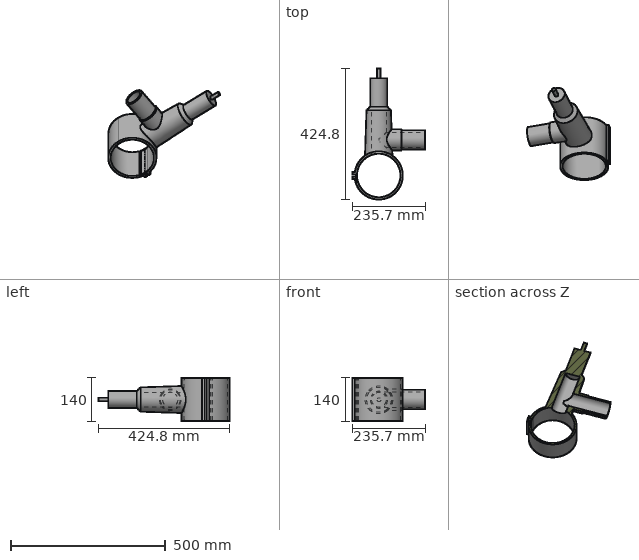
import cadquery as cq
import math

ring_height = 140.0
ring_inner_radius = 70.0
ring_outer_radius = 78.3
half_height = ring_height / 2

tab_radius = 85.75
tab_half_angle = 8.0
split_width = 6.5
tongue_clearance = 0.2
tongue_outer_radius = 73.8
recess_radius = tongue_outer_radius + tongue_clearance
tongue_end_angle = 13.0
recess_end_angle = 17.5

arm_root_y = 60.0
arm_root_radius = 45.0
arm_shoulder_y = 210.5
arm_shoulder_radius = 40.0
neck_radius = 27.75
neck_start_y = arm_shoulder_y + arm_shoulder_radius - neck_radius
neck_end_y = 315.0
rod_radius = 6.25
rod_end_y = 346.5

branch_y = 115.2
collar_radius = 34.5
collar_end_x = 72.5
branch_radius = 31.7
branch_start_x = collar_end_x + collar_radius - branch_radius
branch_end_x = 150.0

arm_bore_radius = 23.8
arm_bore_end_y = arm_shoulder_y
branch_bore_radius = 24.5


def polar_point(radius, degrees_below_x):
    """Point on the -X side, at an angle measured from -X towards -Y."""
    angle = math.radians(degrees_below_x)
    return (-radius * math.cos(angle), -radius * math.sin(angle))


def ring_sector(inner_radius, outer_radius, start_angle, end_angle):
    """Full-height sector of a ring, between two angles measured from -X towards -Y."""
    middle_angle = (start_angle + end_angle) / 2
    return (
        cq.Workplane("XY")
        .workplane(offset=-half_height)
        .moveTo(*polar_point(inner_radius, start_angle))
        .lineTo(*polar_point(outer_radius, start_angle))
        .threePointArc(polar_point(outer_radius, middle_angle), polar_point(outer_radius, end_angle))
        .lineTo(*polar_point(inner_radius, end_angle))
        .threePointArc(polar_point(inner_radius, middle_angle), polar_point(inner_radius, start_angle))
        .close()
        .extrude(ring_height)
    )


def cylinder_z(radius):
    """Full-height cylinder on the ring axis."""
    return cq.Workplane("XY").workplane(offset=-half_height).circle(radius).extrude(ring_height)


def make_arm():
    """Tapered arm, neck and end rod, turned about the Y axis."""
    return (
        cq.Workplane("XY")
        .moveTo(0, arm_root_y)
        .lineTo(-arm_root_radius, arm_root_y)
        .lineTo(-arm_shoulder_radius, arm_shoulder_y)
        .lineTo(-neck_radius, neck_start_y)
        .lineTo(-neck_radius, neck_end_y)
        .lineTo(-rod_radius, neck_end_y)
        .lineTo(-rod_radius, rod_end_y)
        .lineTo(0, rod_end_y)
        .close()
        .revolve(360, (0, 0, 0), (0, 1, 0))
    )


def make_branch():
    """Collar and branch pipe, turned about an axis parallel to X."""
    return (
        cq.Workplane("XY", origin=(0, branch_y, 0))
        .lineTo(0, collar_radius)
        .lineTo(collar_end_x, collar_radius)
        .lineTo(branch_start_x, branch_radius)
        .lineTo(branch_end_x, branch_radius)
        .lineTo(branch_end_x, 0)
        .close()
        .revolve(360, (0, 0, 0), (1, 0, 0))
    )


def make_passages():
    """Arm bore opening into the ring, and branch bore opening at the branch end."""
    arm_bore = cq.Workplane("XZ").circle(arm_bore_radius).extrude(-arm_bore_end_y)
    branch_bore = (
        cq.Workplane("YZ", origin=(0, branch_y, 0))
        .circle(branch_bore_radius)
        .extrude(branch_end_x)
    )
    return arm_bore.union(branch_bore)


def add_clamp_split(body):
    """Add the tabs, cut the split and its recess, then bridge it with the tongue."""
    tabs = ring_sector(ring_inner_radius, tab_radius, -tab_half_angle, tab_half_angle)
    split_length = 2 * (tab_radius - ring_inner_radius)
    split = (
        cq.Workplane("XY", origin=(-tab_radius, 0, 0))
        .box(split_length, split_width, ring_height)
    )
    recess = ring_sector(ring_inner_radius, recess_radius, 0, recess_end_angle)
    tongue = ring_sector(ring_inner_radius, tongue_outer_radius, -tab_half_angle, tongue_end_angle)
    return body.union(tabs).cut(split).cut(recess).union(tongue)


ring = cylinder_z(ring_outer_radius).cut(cylinder_z(ring_inner_radius))
fitting = make_arm().union(make_branch()).cut(cylinder_z(ring_outer_radius))
clamp = add_clamp_split(ring)
result = clamp.union(fitting).cut(make_passages())